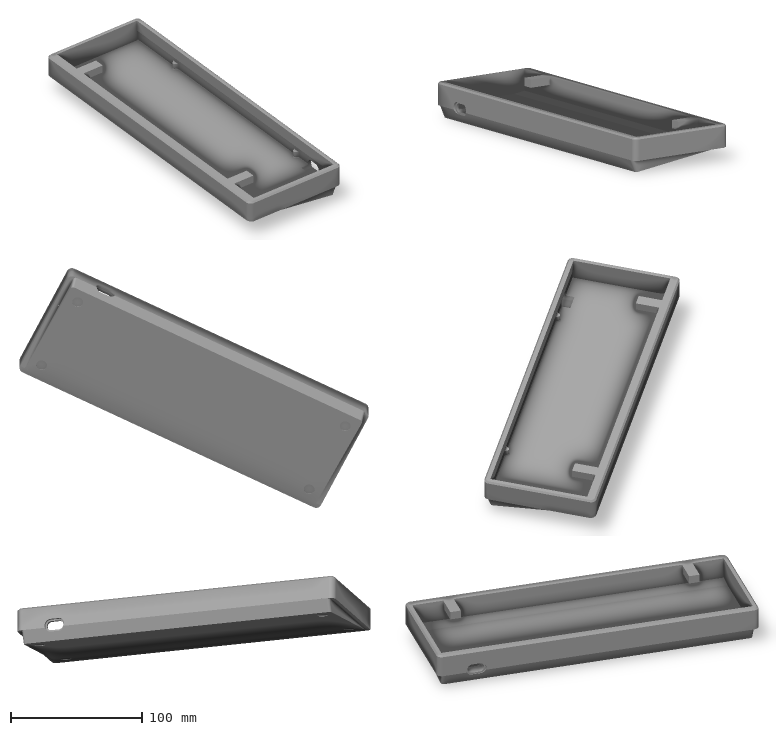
import cadquery as cq
import math

LENGTH = 256.5
WIDTH = 88.3
TOTAL_HEIGHT = 27.7
FRAME_HEIGHT = 18.0
CORNER_RADIUS = 4.0
RIM_CHAMFER = 1.3

SIDE_WALL = 4.0
BACK_WALL = 4.5
FRONT_WALL = 7.2
BACK_RECESS_DEPTH = 0.8
BACK_RECESS_HEIGHT = 9.0

RAMP_LENGTH = 10.0

TAB_WIDTH = 8.5
TAB_REACH = 18.5
TAB_THICKNESS = 6.5
TAB_OFFSET = 95.2

RIB_RADIUS = 1.8
RIB_FILLET = 2.5
RIB_PROJECTION = 2.0
RIB_HEIGHT = 5.1
RIB_OFFSET = 76.2
BASE_CHAMFER = 0.65
LINING_DEPTH = 2.3
SELECT_MARGIN = 0.03

PORT_X = 97.5
PORT_FLAT = 6.2
PORT_DIAMETER = 7.2
PORT_SINK = 1.8
PORT_END_INSET = 10.8
RELIEF_MARGIN = 1.3
RELIEF_DEPTH = 1.8

BACK_LEAN = 4.4
WEDGE_CORNER_RADIUS = 2.0
FOOT_DIAMETER = 8.2
FOOT_INSET = 10.0
FRONT_FOOT_INSET = 8.2
FOOT_DEPTH = 0.5

FRONT_Y = -WIDTH / 2
BACK_Y = WIDTH / 2
CAVITY_LENGTH = LENGTH - 2 * SIDE_WALL
CAVITY_FRONT_Y = FRONT_Y + FRONT_WALL
CAVITY_BACK_Y = BACK_Y - BACK_WALL
RECESS_Y = CAVITY_BACK_Y + BACK_RECESS_DEPTH
WEDGE_HEIGHT = TOTAL_HEIGHT - FRAME_HEIGHT
WEDGE_FRONT_Y = FRONT_Y + SIDE_WALL
WEDGE_LOW_Y = BACK_Y - BACK_LEAN
WEDGE_SLOPE = WEDGE_HEIGHT / (WEDGE_LOW_Y - WEDGE_FRONT_Y)


def extrude_along_x(points, length):
    """Prism of a YZ outline, centred on X = 0."""
    return cq.Workplane("YZ").polyline(points).close().extrude(length / 2, both=True)


def frame_cavity():
    """Open middle of the frame, with the ramp in front and the undercut at the back."""
    outline = [
        (CAVITY_FRONT_Y, FRAME_HEIGHT),
        (CAVITY_FRONT_Y, RAMP_LENGTH * WEDGE_SLOPE),
        (CAVITY_FRONT_Y + RAMP_LENGTH, 0),
        (RECESS_Y, 0),
        (RECESS_Y, BACK_RECESS_HEIGHT),
        (CAVITY_BACK_Y, BACK_RECESS_HEIGHT),
        (CAVITY_BACK_Y, FRAME_HEIGHT),
    ]
    return extrude_along_x(outline, CAVITY_LENGTH)


def support_tab(x):
    """Slab level with the rim that reaches back from the front wall."""
    return cq.Workplane("XY").box(
        TAB_WIDTH, TAB_REACH, TAB_THICKNESS, centered=(True, False, False)
    ).translate((x, CAVITY_FRONT_Y, FRAME_HEIGHT - TAB_THICKNESS))


def wall_rib(x):
    """Round-nosed rib that blends into the recessed back wall through concave arcs."""
    nose_y = CAVITY_BACK_Y - RIB_PROJECTION
    centre_y = nose_y + RIB_RADIUS
    fillet_y = RECESS_Y - RIB_FILLET
    reach = RIB_RADIUS + RIB_FILLET
    half_width = math.sqrt(reach**2 - (centre_y - fillet_y) ** 2)
    blend_x = half_width * RIB_RADIUS / reach
    blend_y = centre_y + (fillet_y - centre_y) * RIB_RADIUS / reach
    half_turn = math.atan2(half_width, centre_y - fillet_y) / 2
    fillet_mid_x = half_width - RIB_FILLET * math.sin(half_turn)
    fillet_mid_y = fillet_y + RIB_FILLET * math.cos(half_turn)
    return (
        cq.Workplane("XY")
        .moveTo(-half_width, RECESS_Y)
        .threePointArc((-fillet_mid_x, fillet_mid_y), (-blend_x, blend_y))
        .threePointArc((0, nose_y), (blend_x, blend_y))
        .threePointArc((fillet_mid_x, fillet_mid_y), (half_width, RECESS_Y))
        .close()
        .extrude(RIB_HEIGHT)
        .translate((x, 0, 0))
    )


def ribbed_wall():
    """Lining of the recessed wall with its ribs and the chamfer along their base, up to the port."""
    left_x = -CAVITY_LENGTH / 2
    length = PORT_X - left_x
    lining = cq.Workplane("XY").box(length, LINING_DEPTH, RIB_HEIGHT, centered=False)
    lining = lining.translate((left_x, RECESS_Y, 0))
    for side in (-1, 1):
        lining = lining.union(wall_rib(side * RIB_OFFSET))

    floor_front_y = CAVITY_BACK_Y - 2 * RIB_PROJECTION
    corner_front_y = CAVITY_BACK_Y - 1.5 * RIB_PROJECTION
    floor = cq.Workplane("XY").box(
        length, RECESS_Y + LINING_DEPTH - floor_front_y, RIB_HEIGHT, centered=False
    ).translate((left_x, floor_front_y, -RIB_HEIGHT))
    inside_corner = cq.selectors.BoxSelector(
        (left_x + SELECT_MARGIN, corner_front_y, -SELECT_MARGIN),
        (PORT_X - SELECT_MARGIN, RECESS_Y + SELECT_MARGIN, SELECT_MARGIN),
    )
    return lining.union(floor).edges(inside_corner).chamfer(BASE_CHAMFER).cut(floor)


def port_slot(margin, depth):
    """Round-ended slot sunk from the back face, wider than the port all round by the margin."""
    diameter = PORT_DIAMETER + 2 * margin
    return (
        cq.Workplane("XZ", origin=(PORT_X, BACK_Y, PORT_DIAMETER / 2 - PORT_SINK))
        .slot2D(PORT_FLAT + diameter, diameter)
        .extrude(depth)
    )


def cable_port():
    """Port through the back wall that dips into the wedge, with a wider relief for the plug outside."""
    return port_slot(0, PORT_END_INSET).union(port_slot(RELIEF_MARGIN, RELIEF_DEPTH))


def front_underside():
    """Sliver under the front wall where the slope of the wedge runs on to the front face."""
    outline = [
        (FRONT_Y, 0),
        (WEDGE_FRONT_Y, 0),
        (FRONT_Y, SIDE_WALL * WEDGE_SLOPE),
    ]
    return extrude_along_x(outline, LENGTH)


def make_frame():
    frame = (
        cq.Workplane("XY")
        .box(LENGTH, WIDTH, FRAME_HEIGHT, centered=(True, True, False))
        .edges("|Z")
        .fillet(CORNER_RADIUS)
        .faces(">Z")
        .chamfer(RIM_CHAMFER)
        .cut(frame_cavity())
        .cut(front_underside())
    )
    for side in (-1, 1):
        frame = frame.union(support_tab(side * TAB_OFFSET))
    frame = frame.union(ribbed_wall())
    return frame.cut(cable_port())


def foot_recesses():
    """Four shallow round seats for stick-on feet, square to the sloping underside."""
    angle = math.degrees(math.atan(WEDGE_SLOPE))
    foot_x = CAVITY_LENGTH / 2 - FOOT_INSET
    seats = cq.Workplane("XY")
    for y in (WEDGE_FRONT_Y + FRONT_FOOT_INSET, WEDGE_LOW_Y - FOOT_INSET):
        z = -(y - WEDGE_FRONT_Y) * WEDGE_SLOPE
        for x in (-foot_x, foot_x):
            seat = cq.Workplane("XY").circle(FOOT_DIAMETER / 2).extrude(FOOT_DEPTH, both=True)
            seats = seats.add(seat.rotate((0, 0, 0), (1, 0, 0), -angle).translate((x, y, z)))
    return seats.combine()


def make_wedge():
    outline = [(WEDGE_FRONT_Y, 0), (BACK_Y, 0), (WEDGE_LOW_Y, -WEDGE_HEIGHT)]
    wedge = extrude_along_x(outline, CAVITY_LENGTH)
    wedge = wedge.faces(">Y").edges("not |X").fillet(WEDGE_CORNER_RADIUS)
    return wedge.cut(foot_recesses()).cut(cable_port())


frame = make_frame().solids()
wedge = make_wedge().solids()
result = cq.Compound.makeCompound([frame.val(), wedge.val()])